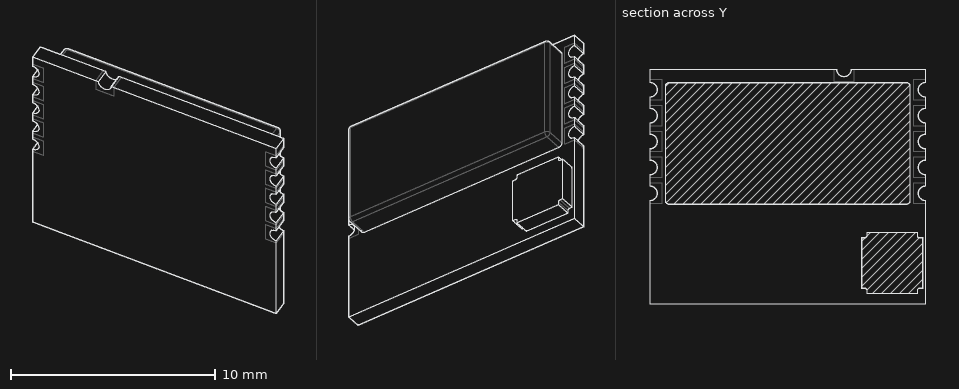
import cadquery as cq

BOARD_WIDTH = 13.5
BOARD_HEIGHT = 11.5
BOARD_THICKNESS = 0.8

CASTELLATION_RADIUS = 0.35
SIDE_CASTELLATION_COUNT = 5
SIDE_CASTELLATION_PITCH = 1.27
FIRST_CASTELLATION_DROP = 1.0
TOP_CASTELLATION_FROM_LEFT = 4.0

PAD_LENGTH = 1.0
PAD_INSET = 0.6

OVERALL_DEPTH = 2.0
COVER_WIDTH = 12.0
COVER_HEIGHT = 5.97
COVER_TOP_MARGIN = 0.65
COVER_FILLET = 0.19
COVER_DEPTH = OVERALL_DEPTH - BOARD_THICKNESS

CONNECTOR_SIDE = 3.0
CONNECTOR_DEPTH = 0.81
CONNECTOR_SIDE_MARGIN = 0.14
CONNECTOR_BOTTOM_MARGIN = 0.51
CONNECTOR_NOTCH = 0.25
CONNECTOR_NOTCH_FILLET = 0.1


def block(width, depth, height, center_x, front_y, bottom_z):
    """Box centred on center_x that grows toward +Y and +Z."""
    return cq.Workplane("XY").box(width, depth, height, centered=(True, False, False)).translate(
        (center_x, front_y, bottom_z)
    )


def side_castellation_heights():
    first_z = BOARD_HEIGHT - FIRST_CASTELLATION_DROP
    return [first_z - i * SIDE_CASTELLATION_PITCH for i in range(SIDE_CASTELLATION_COUNT)]


def make_pads():
    top_x = -BOARD_WIDTH / 2 + TOP_CASTELLATION_FROM_LEFT
    pads = block(PAD_LENGTH, BOARD_THICKNESS, PAD_INSET, top_x, 0, BOARD_HEIGHT - PAD_INSET)
    for side in (-1, 1):
        center_x = side * (BOARD_WIDTH - PAD_INSET) / 2
        for z in side_castellation_heights():
            pads = pads.add(block(PAD_INSET, BOARD_THICKNESS, PAD_LENGTH, center_x, 0, z - PAD_LENGTH / 2))
    return pads.combine(clean=False)


def make_castellation_cutters():
    centers = [(BOARD_HEIGHT, -BOARD_WIDTH / 2 + TOP_CASTELLATION_FROM_LEFT)]
    for z in side_castellation_heights():
        centers += [(z, -BOARD_WIDTH / 2), (z, BOARD_WIDTH / 2)]
    return cq.Workplane("ZX").pushPoints(centers).circle(CASTELLATION_RADIUS).extrude(BOARD_THICKNESS)


def make_board():
    board = block(BOARD_WIDTH, BOARD_THICKNESS, BOARD_HEIGHT, 0, 0, 0)
    padded_board = board.union(make_pads(), clean=False)
    return padded_board.cut(make_castellation_cutters(), clean=False)


def make_cover():
    bottom_z = BOARD_HEIGHT - COVER_TOP_MARGIN - COVER_HEIGHT
    cover = block(COVER_WIDTH, COVER_DEPTH, COVER_HEIGHT, 0, BOARD_THICKNESS, bottom_z)
    return cover.edges("|Y or >Y").fillet(COVER_FILLET)


def make_connector():
    center_x = -BOARD_WIDTH / 2 + CONNECTOR_SIDE_MARGIN + CONNECTOR_SIDE / 2
    center_z = CONNECTOR_BOTTOM_MARGIN + CONNECTOR_SIDE / 2
    connector = block(
        CONNECTOR_SIDE, CONNECTOR_DEPTH, CONNECTOR_SIDE, center_x, BOARD_THICKNESS, CONNECTOR_BOTTOM_MARGIN
    )
    for x_side in (-1, 1):
        for z_side in (-1, 1):
            notch = block(
                2 * CONNECTOR_NOTCH,
                CONNECTOR_DEPTH,
                2 * CONNECTOR_NOTCH,
                center_x + x_side * CONNECTOR_SIDE / 2,
                BOARD_THICKNESS,
                center_z + z_side * CONNECTOR_SIDE / 2 - CONNECTOR_NOTCH,
            )
            connector = connector.cut(notch.edges("|Y").fillet(CONNECTOR_NOTCH_FILLET))
    return connector


result = make_board().union(make_cover(), clean=False).union(make_connector(), clean=False)